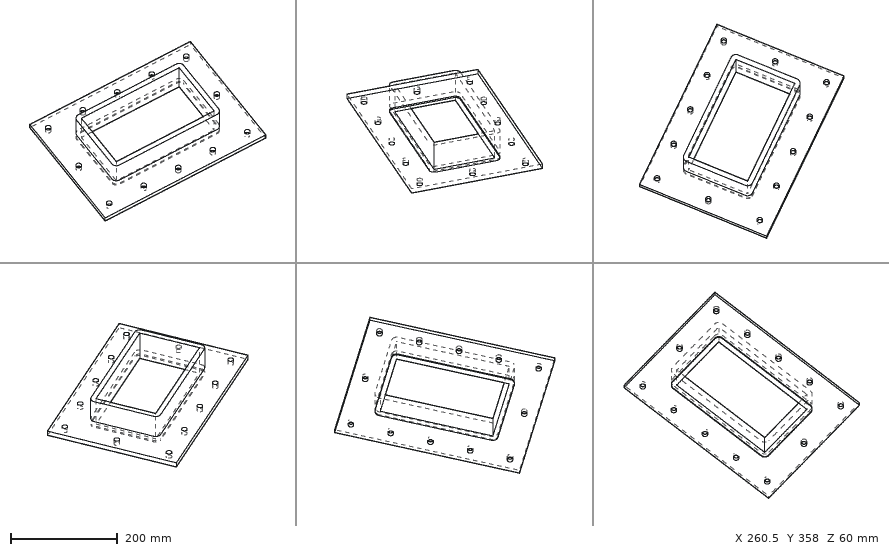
import cadquery as cq

plate_width = 260.5
plate_length = 358.0
plate_thickness = 10.0

opening_width = 120.5
opening_length = 218.0
wall = 10.0
collar_height = 60.0
collar_corner_radius = wall
collar_below_plate = 3.0

bolt_diameter = 10.5
bolt_edge_distance = 25.0
bolts_along_width = 3
bolts_along_length = 5


def bolt_positions():
    """Evenly spaced points around a rectangle set in from the plate edges."""
    span_x = plate_width - 2 * bolt_edge_distance
    span_y = plate_length - 2 * bolt_edge_distance
    last_column = bolts_along_width - 1
    last_row = bolts_along_length - 1
    points = []
    for column in range(bolts_along_width):
        for row in range(bolts_along_length):
            if column in (0, last_column) or row in (0, last_row):
                x = span_x * (column / last_column - 0.5)
                y = span_y * (row / last_row - 0.5)
                points.append((x, y))
    return points


def make_plate():
    """Flat flange with its underside at Z = 0, drilled for the bolts."""
    plate = cq.Workplane("XY").rect(plate_width, plate_length).extrude(plate_thickness)
    bolts = (
        cq.Workplane("XY")
        .pushPoints(bolt_positions())
        .circle(bolt_diameter / 2)
        .extrude(plate_thickness)
    )
    return plate.cut(bolts)


def make_collar_block():
    """Solid outer body of the collar with rounded vertical corners."""
    return (
        cq.Workplane("XY")
        .workplane(offset=-collar_below_plate)
        .rect(opening_width + 2 * wall, opening_length + 2 * wall)
        .extrude(collar_height)
        .edges("|Z")
        .fillet(collar_corner_radius)
    )


def make_opening():
    """Sharp-cornered passage through the full height of the collar."""
    return (
        cq.Workplane("XY")
        .workplane(offset=-collar_below_plate)
        .rect(opening_width, opening_length)
        .extrude(collar_height)
    )


result = make_plate().union(make_collar_block()).cut(make_opening())